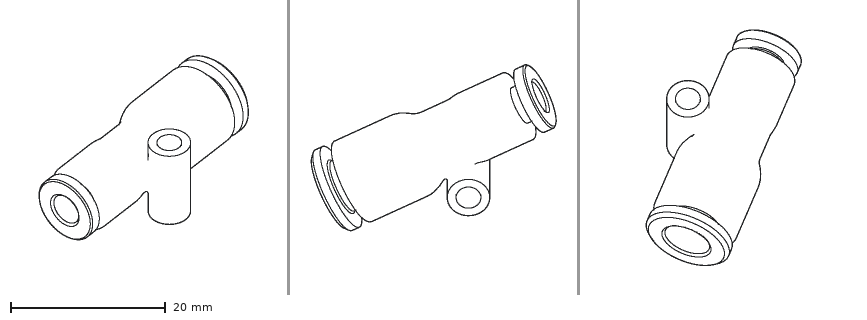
import cadquery as cq
import math


length = 30.8

large_radius = 11.5 / 2
large_neck_radius = 7.1 / 2
waist_radius = 9.0 / 2
small_radius = 9.5 / 2
small_neck_radius = 5.05 / 2
small_collar_radius = waist_radius

collar_thickness = 1.57
barrel_setback = 3.08
small_barrel_end = 9.85
waist_end = 15.35

shoulder_angle = math.radians(30)
shoulder_convex_radius = 4.0
shoulder_concave_radius = 3.0

small_shoulder_radius = 3.3

large_collar_chamfer = 0.5
small_collar_chamfer = 0.22
large_neck_chamfer = 0.25
small_neck_chamfer = 0.15
barrel_fillet = 0.3

passage_radius = 3.0 / 2
small_socket_radius = 4.15 / 2
large_socket_radius = 6.15 / 2
small_socket_depth = small_barrel_end
large_socket_depth = 11.4
socket_mouth_chamfer = 0.3

pin_radius = 5.5 / 2
pin_hole_radius = 3.2 / 2
pin_height = 2 * large_radius
pin_x = waist_radius + pin_hole_radius
pin_y = 13.83
pin_root_fillet = 0.22
root_margin = 0.15


def arc_point(center, radius, angle):
    """Point at an angle, measured from +X, on a circle in the profile plane."""
    return (center[0] + radius * math.cos(angle), center[1] + radius * math.sin(angle))


def add_arc(profile, center, radius, start_angle, end_angle):
    """Continue the profile with an arc from one angle to another."""
    middle = arc_point(center, radius, (start_angle + end_angle) / 2)
    return profile.threePointArc(middle, arc_point(center, radius, end_angle))


def add_small_end(profile):
    """Small collar, neck and barrel, up to the start of the small shoulder."""
    profile = (
        profile.lineTo(small_collar_radius - small_collar_chamfer, 0)
        .lineTo(small_collar_radius, small_collar_chamfer)
        .lineTo(small_collar_radius, collar_thickness)
        .lineTo(small_neck_radius + small_neck_chamfer, collar_thickness)
        .lineTo(small_neck_radius, collar_thickness + small_neck_chamfer)
        .lineTo(small_neck_radius, barrel_setback)
        .lineTo(small_radius - barrel_fillet, barrel_setback)
    )
    fillet_center = (small_radius - barrel_fillet, barrel_setback + barrel_fillet)
    profile = add_arc(profile, fillet_center, barrel_fillet, -math.pi / 2, 0)
    return profile.lineTo(small_radius, small_barrel_end)


def add_small_shoulder(profile):
    """S-shaped step from the small barrel down to the waist."""
    step = small_radius - waist_radius
    angle = math.acos(1 - step / (2 * small_shoulder_radius))
    waist_start = small_barrel_end + 2 * small_shoulder_radius * math.sin(angle)
    convex_center = (small_radius - small_shoulder_radius, small_barrel_end)
    concave_center = (waist_radius + small_shoulder_radius, waist_start)
    profile = add_arc(profile, convex_center, small_shoulder_radius, 0, angle)
    return add_arc(profile, concave_center, small_shoulder_radius, math.pi + angle, math.pi)


def add_large_shoulder(profile):
    """Waist and the flare to the large barrel; the cone makes up the rise the arcs leave."""
    radius_sum = shoulder_convex_radius + shoulder_concave_radius
    cone_rise = large_radius - waist_radius - radius_sum * (1 - math.cos(shoulder_angle))
    cone_length = cone_rise / math.tan(shoulder_angle)
    large_barrel_start = waist_end + radius_sum * math.sin(shoulder_angle) + cone_length
    concave_center = (waist_radius + shoulder_concave_radius, waist_end)
    convex_center = (large_radius - shoulder_convex_radius, large_barrel_start)
    profile = profile.lineTo(waist_radius, waist_end)
    profile = add_arc(profile, concave_center, shoulder_concave_radius, math.pi, math.pi - shoulder_angle)
    profile = profile.lineTo(*arc_point(convex_center, shoulder_convex_radius, -shoulder_angle))
    return add_arc(profile, convex_center, shoulder_convex_radius, -shoulder_angle, 0)


def add_large_end(profile):
    """Large barrel, neck and collar, up to the end face."""
    barrel_end = length - barrel_setback
    collar_back = length - collar_thickness
    profile = profile.lineTo(large_radius, barrel_end - barrel_fillet)
    fillet_center = (large_radius - barrel_fillet, barrel_end - barrel_fillet)
    profile = add_arc(profile, fillet_center, barrel_fillet, 0, math.pi / 2)
    return (
        profile.lineTo(large_neck_radius, barrel_end)
        .lineTo(large_neck_radius, collar_back - large_neck_chamfer)
        .lineTo(large_neck_radius + large_neck_chamfer, collar_back)
        .lineTo(large_radius, collar_back)
        .lineTo(large_radius, length - large_collar_chamfer)
        .lineTo(large_radius - large_collar_chamfer, length)
        .lineTo(0, length)
    )


def make_body():
    """Outer shape of the connector, revolved about the Y axis and still solid."""
    profile = cq.Workplane("XY").moveTo(0, 0)
    profile = add_small_end(profile)
    profile = add_small_shoulder(profile)
    profile = add_large_shoulder(profile)
    profile = add_large_end(profile)
    return profile.close().revolve(360, (0, 0, 0), (0, 1, 0))


def make_pin_cylinder(radius):
    """Upright cylinder on the axis of the mounting pin."""
    return cq.Workplane("XY").center(pin_x, pin_y).circle(radius).extrude(pin_height / 2, both=True)


def join_pin(body):
    """Fuse the pin to the body and round the line where they meet."""
    joined = body.union(make_pin_cylinder(pin_radius))
    root = cq.selectors.BoxSelector(
        (pin_x - pin_radius - root_margin, pin_y - pin_radius + root_margin, -waist_radius),
        (pin_x, pin_y + pin_radius - root_margin, waist_radius),
        boundingbox=True,
    )
    return joined.edges(root).fillet(pin_root_fillet)


def make_bore():
    """Both sockets with their conical mouths, and the passage between them."""
    small_mouth_radius = small_socket_radius + socket_mouth_chamfer
    large_mouth_radius = large_socket_radius + socket_mouth_chamfer
    return (
        cq.Workplane("XY")
        .moveTo(0, 0)
        .lineTo(small_mouth_radius, 0)
        .lineTo(small_socket_radius, socket_mouth_chamfer)
        .lineTo(small_socket_radius, small_socket_depth)
        .lineTo(passage_radius, small_socket_depth)
        .lineTo(passage_radius, length - large_socket_depth)
        .lineTo(large_socket_radius, length - large_socket_depth)
        .lineTo(large_socket_radius, length - socket_mouth_chamfer)
        .lineTo(large_mouth_radius, length)
        .lineTo(0, length)
        .close()
        .revolve(360, (0, 0, 0), (0, 1, 0))
    )


result = join_pin(make_body()).cut(make_pin_cylinder(pin_hole_radius)).cut(make_bore())